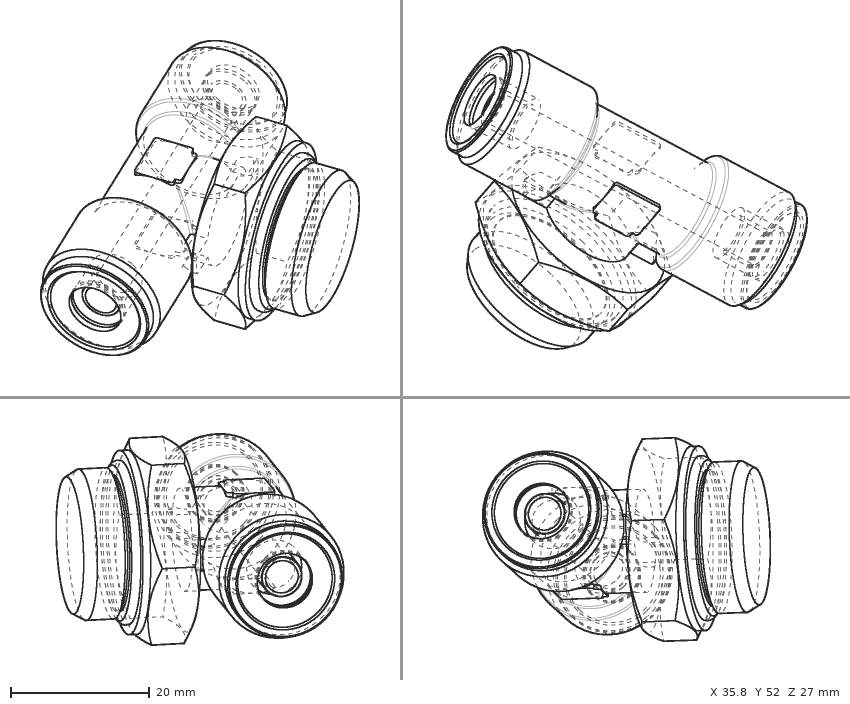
import cadquery as cq
import math

run_half_length = 26.0
run_r = 15.0 / 2
socket_r = 18.5 / 2
rim_r = 17.0 / 2
rim_length = 2.0
rim_edge = 0.2
shoulder_start = 10.25
shoulder_angle = 60.0
shoulder_fillet = 0.5

recess_r = 14.0 / 2
recess_depth = 0.3
socket_bore_r = 8.15 / 2
socket_bore_depth = 7.8
ring_groove_start = 0.95
ring_groove_end = 1.5
ring_groove_depth = 0.15

sleeve_tip_depth = 2.2
sleeve_r = 6.0 / 2
sleeve_tip_r = 5.8 / 2
sleeve_base_fillet = 0.25
through_r = 4.85 / 2

hex_across_flats = 27.0
hex_start = 9.95
hex_end = 17.3
hex_face_r = 26.8 / 2
hex_chamfer_angle = 30.0
collar_end = 18.45
seal_r = 11.95
seal_end = 19.7
seal_crest = 18.7
seal_start_r = 11.9
seal_end_r = 11.35
neck_r = 19.9 / 2
neck_end = 20.0
spigot_r = 22.0 / 2
spigot_start = 20.6
spigot_chamfer_start = 24.7
branch_end = 26.5

web_half_length = 11.45
web_thickness = 3.65
web_edge = 0.3

pad_height = run_r
pad_short = 6.15
pad_long = 8.0
pad_reach = 4.0
pad_corner = 0.45

junction_fillet = 0.35
junction_core = 5.2


def make_run():
    """Tube with two larger sockets, turned about Y."""
    shoulder_end = shoulder_start + (socket_r - run_r) / math.tan(math.radians(shoulder_angle))
    rim_start = run_half_length - rim_length
    socket_end = rim_start - (socket_r - rim_r)
    half = (
        cq.Workplane("XY")
        .moveTo(0, 0)
        .lineTo(run_r, 0)
        .lineTo(run_r, shoulder_start)
        .lineTo(socket_r, shoulder_end)
        .lineTo(socket_r, socket_end)
        .lineTo(rim_r, rim_start)
        .lineTo(rim_r, run_half_length - rim_edge)
        .lineTo(rim_r - rim_edge, run_half_length)
        .lineTo(0, run_half_length)
        .close()
        .revolve(360, (0, 0, 0), (0, 1, 0))
    )
    for place in (shoulder_start, shoulder_end):
        half = half.edges(cq.selectors.NearestToPointSelector((0, place, 0))).fillet(shoulder_fillet)
    return half.union(half.mirror("XZ"))


def make_hex():
    """Hexagon with two Z-facing flats, both ends chamfered by cones."""
    corner_r = hex_across_flats / math.sqrt(3)
    setback = (corner_r - hex_face_r) * math.tan(math.radians(hex_chamfer_angle))
    prism = (
        cq.Workplane("YZ", origin=(hex_start, 0, 0))
        .polygon(6, 2 * corner_r)
        .extrude(hex_end - hex_start)
    )
    envelope = (
        cq.Workplane("XY")
        .moveTo(hex_start, 0)
        .lineTo(hex_start, hex_face_r)
        .lineTo(hex_start + setback, corner_r)
        .lineTo(hex_end - setback, corner_r)
        .lineTo(hex_end, hex_face_r)
        .lineTo(hex_end, 0)
        .close()
        .revolve(360, (0, 0, 0), (1, 0, 0))
    )
    return prism.intersect(envelope)


def make_spigot():
    """Collar, seal ring, undercut and threaded end, turned about X."""
    return (
        cq.Workplane("XY")
        .moveTo(hex_start, 0)
        .lineTo(hex_start, run_r)
        .lineTo(hex_end, run_r)
        .lineTo(hex_end, hex_face_r)
        .lineTo(collar_end, hex_face_r)
        .lineTo(collar_end, seal_start_r)
        .threePointArc((seal_crest, seal_r), (seal_end, seal_end_r))
        .lineTo(seal_end, neck_r)
        .lineTo(neck_end, neck_r)
        .lineTo(spigot_start, spigot_r)
        .lineTo(spigot_chamfer_start, spigot_r)
        .lineTo(branch_end, neck_r)
        .lineTo(branch_end, 0)
        .close()
        .revolve(360, (0, 0, 0), (1, 0, 0))
    )


def make_web():
    """Plate joining the run to the hexagon, its outer long edges bevelled."""
    return (
        cq.Workplane("XY")
        .box(hex_start, 2 * web_half_length, web_thickness, centered=(False, True, True))
        .edges("|X")
        .chamfer(web_edge)
    )


def make_pads():
    """T-shaped flats over the junction, reaching through to the underside."""
    across = cq.Workplane("XY").box(pad_short, pad_long, 2 * pad_height).edges("|Z").fillet(pad_corner)
    along = (
        cq.Workplane("XY")
        .box(pad_reach, pad_short, 2 * pad_height, centered=(False, True, True))
        .edges("|Z and >X")
        .fillet(pad_corner)
    )
    return across.union(along)


def socket_cut():
    """Ring-shaped cavity of the +Y socket around its sleeve, as the solid to remove."""
    face = run_half_length - recess_depth
    floor = face - socket_bore_depth
    tip = face - sleeve_tip_depth
    groove_outer = face - ring_groove_start
    groove_inner = face - ring_groove_end
    groove_middle = (groove_outer + groove_inner) / 2
    return (
        cq.Workplane("XY")
        .moveTo(0, run_half_length)
        .lineTo(recess_r + recess_depth, run_half_length)
        .lineTo(recess_r, face)
        .lineTo(socket_bore_r, face)
        .lineTo(socket_bore_r, groove_outer)
        .threePointArc((socket_bore_r + ring_groove_depth, groove_middle), (socket_bore_r, groove_inner))
        .lineTo(socket_bore_r, floor)
        .lineTo(sleeve_r + sleeve_base_fillet, floor)
        .tangentArcPoint((sleeve_r, floor + sleeve_base_fillet), relative=False)
        .lineTo(sleeve_r, tip - (sleeve_r - sleeve_tip_r))
        .lineTo(sleeve_tip_r, tip)
        .lineTo(0, tip)
        .close()
        .revolve(360, (0, 0, 0), (0, 1, 0))
    )


def make_tee():
    """Run and branch of equal diameter, blended along their seams.

    The sharp-cornered core stops the blends beneath the pads, where both seams would meet.
    """
    branch = cq.Workplane("YZ").circle(run_r).extrude(hex_start)
    core = cq.Workplane("XY").box(junction_core, junction_core, 2 * run_r)
    tee = make_run().union(branch).union(core)
    return tee.edges("%ELLIPSE").fillet(junction_fillet)


body = make_tee().union(make_pads()).union(make_web()).union(make_hex()).union(make_spigot())
through_bore = cq.Workplane("XZ").circle(through_r).extrude(run_half_length, both=True)
socket = socket_cut()
result = body.cut(through_bore).cut(socket).cut(socket.mirror("XZ"))